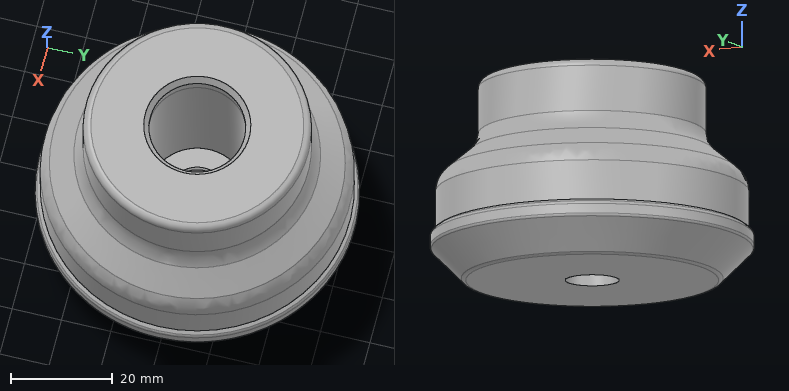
import cadquery as cq

total_height = 40.0
rim_radius = 31.9
neck_radius = 22.45
body_radius = 30.9

top_fillet = 1.5
flank_fillet = 5.0
neck_corner_z = 27.05
shoulder_corner_z = 20.05

bore_radius = 9.5
mouth_radius = 10.5
mouth_depth = 1.2
throat_depth = 3.75
chamber_radius = 9.75

seat_z = 6.65
lip_top_z = 9.8
rim_bottom_z = 6.5
rim_top_z = 9.1
foot_radius = 25.4
rim_fillet = 0.75
foot_fillet = 1.3

hole_radius = 5.3
hole_chamfer = 0.4


def revolve_outline(points):
    """Turn a closed (radius, z) outline about the Z axis."""
    return cq.Workplane("XZ").polyline(points).close().revolve(360, (0, 0, 0), (0, 1, 0))


def fillet_circle(solid, radius, z, fillet):
    """Round the circular edge that has the given radius and height."""
    tolerance = 0.005
    corner = cq.selectors.BoxSelector(
        (-radius - tolerance, -radius - tolerance, z - tolerance),
        (radius + tolerance, radius + tolerance, z + tolerance),
        boundingbox=True,
    )
    largest = cq.selectors.RadiusNthSelector(-1)
    return solid.edges("%CIRCLE").edges(corner).edges(largest).fillet(fillet)


def make_knob():
    """Stepped grip with a sloping shoulder and a bore that widens below its mouth."""
    knob = revolve_outline([
        (chamber_radius, seat_z),
        (body_radius, seat_z),
        (body_radius, shoulder_corner_z),
        (neck_radius, neck_corner_z),
        (neck_radius, total_height),
        (mouth_radius, total_height),
        (bore_radius, total_height - mouth_depth),
        (chamber_radius, total_height - throat_depth),
    ])
    knob = fillet_circle(knob, neck_radius, total_height, top_fillet)
    knob = fillet_circle(knob, neck_radius, neck_corner_z, flank_fillet)
    return fillet_circle(knob, body_radius, shoulder_corner_z, flank_fillet)


def make_base():
    """Tapered foot with a rim whose lip surrounds the bottom of the knob."""
    base = revolve_outline([
        (hole_radius, 0),
        (foot_radius, 0),
        (rim_radius, rim_bottom_z),
        (rim_radius, rim_top_z),
        (body_radius, lip_top_z),
        (body_radius, seat_z),
        (hole_radius + hole_chamfer, seat_z),
        (hole_radius, seat_z - hole_chamfer),
    ])
    base = fillet_circle(base, foot_radius, 0, foot_fillet)
    base = fillet_circle(base, rim_radius, rim_bottom_z, rim_fillet)
    return fillet_circle(base, rim_radius, rim_top_z, rim_fillet)


knob = make_knob()
base = make_base()

result = cq.Compound.makeCompound([knob.val(), base.val()])